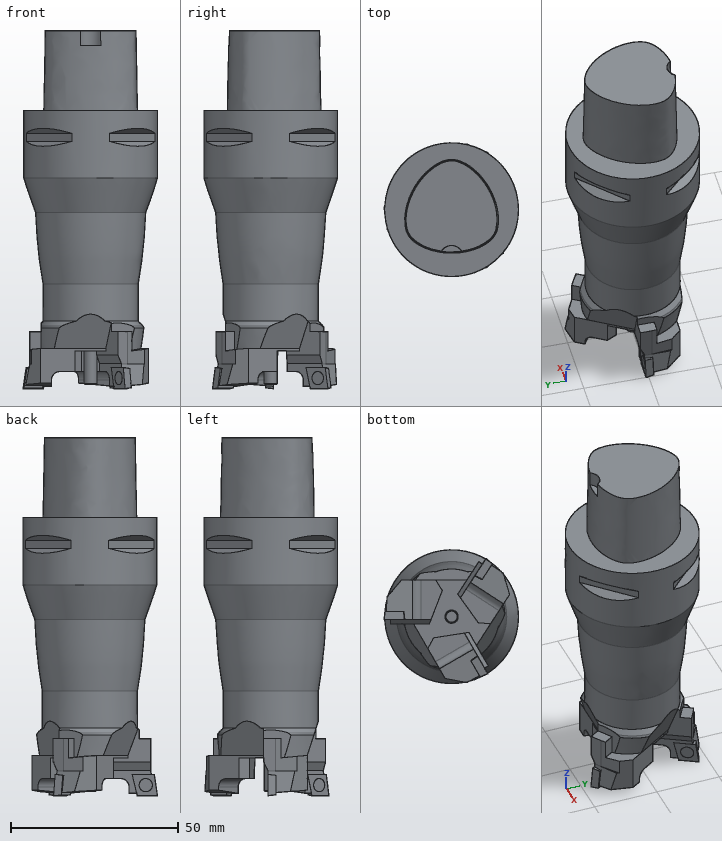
import cadquery as cq
import math


tool_length = 107
shank_base = 83.1
flange_bottom = 63.0
shoulder_bottom = 52.6
neck_top = 31.2
collar_top = 20.2
collar_shoulder = 18.8
collar_rim = 18.2
flute_break = 12.1
head_bottom = 11.3

flange_radius = 40.0 / 2
neck_radius = 28.5 / 2
shoulder_radius = 16.5
collar_radius = 15.9
collar_shoulder_radius = 15.6
collar_base_radius = 15.3
shoulder_bulge = 0.1
waist_bulge = 0.37

shank_base_radius = 14.0
shank_top_radius = 13.6
shank_lobe = 1.02
shank_points = 36
notch_radius = 3.5
notch_center = 14.2
notch_depth = 4.5

slot_count = 4
slot_start_angle = 45
slot_middle = 75.1
slot_floor_half = 1.2
slot_mouth_half = 2.7
slot_floor_radius = 17.5

tooth_angles = [180, -57, 60]
rake_offset = 2.1
seat_offset = 0.9
heel_offset = 10.9
post_top = 17.1
post_back = 3.0
rake_break = 10.2
seat_top = 7.6
outer_step = 7.4
post_radius = 18.2
post_bend = 1.4
chamfer_start = 7.8
chamfer_start_radius = 17.7
heel_radius = 15.0
inner_rake_radius = 6.6
inner_mid_radius = 2.8
inner_mid = 7.8
inner_heel_radius = 4.7
tooth_foot_radius = 19.6
toe_height = 0.7
heel_height = 1.7
relief_height = 5.1
relief_radius = 11.7
relief_round = 2.5
flat_distance = 14.8
flat_end = 11.8
flute_slope = 18

insert_height = 6.4
insert_thickness = 2.5
insert_clearance_angle = 7
insert_outline = [(12.6, insert_height), (19.3, insert_height), (20.2, 0), (14.1, 0)]
screw_radius_position = 16.7
screw_height = 3.2
screw_head_radius = 4.0 / 2
screw_shank_radius = 2.8 / 2
screw_head_depth = 1.1
screw_length = 5.9

pin_radius = 4.0 / 2
pin_bottom = 1.3
pin_chamfer = 0.3

reach = 2 * flange_radius


def turned(shape, angle):
    return shape.rotate((0, 0, 0), (0, 0, 1), angle)


def bulged_midpoint(start, end, bulge):
    """Middle of a segment of the turned profile, pushed outward by the bulge."""
    return ((start[0] + end[0]) / 2 + bulge, (start[1] + end[1]) / 2)


def make_turned_body():
    flange_edge = (flange_radius, flange_bottom)
    shoulder_edge = (shoulder_radius, shoulder_bottom)
    neck_edge = (neck_radius, neck_top)
    return (
        cq.Workplane("XZ")
        .moveTo(0, head_bottom)
        .lineTo(collar_base_radius, head_bottom)
        .lineTo(collar_radius, collar_rim)
        .lineTo(collar_shoulder_radius, collar_shoulder)
        .lineTo(neck_radius, collar_top)
        .lineTo(*neck_edge)
        .threePointArc(bulged_midpoint(neck_edge, shoulder_edge, waist_bulge), shoulder_edge)
        .threePointArc(bulged_midpoint(shoulder_edge, flange_edge, shoulder_bulge), flange_edge)
        .lineTo(flange_radius, shank_base)
        .lineTo(0, shank_base)
        .close()
        .revolve(360, (0, 0, 0), (0, 1, 0))
    )


def shank_section(mean_radius):
    """Constant-width three-lobed curve with one lobe toward +Y."""
    points = []
    for i in range(shank_points):
        a = 2 * math.pi * i / shank_points
        lobe_phase = 3 * (a - math.pi / 2)
        support = mean_radius + shank_lobe * math.cos(lobe_phase)
        slope = -3 * shank_lobe * math.sin(lobe_phase)
        x = support * math.cos(a) - slope * math.sin(a)
        y = support * math.sin(a) + slope * math.cos(a)
        points.append((x, y))
    return points


def make_shank():
    shank = (
        cq.Workplane("XY", origin=(0, 0, shank_base))
        .spline(shank_section(shank_base_radius), periodic=True)
        .close()
        .workplane(offset=tool_length - shank_base)
        .spline(shank_section(shank_top_radius), periodic=True)
        .close()
        .loft(combine=True)
    )
    notch = (
        cq.Workplane("XY", origin=(0, -notch_center, tool_length - notch_depth))
        .circle(notch_radius)
        .extrude(notch_depth)
    )
    return shank.cut(notch)


def make_slot(angle):
    """Straight slot across the flange, with sides that flare from the floor to the rim."""
    profile = [
        (slot_floor_radius, slot_middle - slot_floor_half),
        (flange_radius, slot_middle - slot_mouth_half),
        (flange_radius, slot_middle + slot_mouth_half),
        (slot_floor_radius, slot_middle + slot_floor_half),
    ]
    slot = cq.Workplane("XZ").polyline(profile).close().extrude(flange_radius, both=True)
    return turned(slot, angle)


def make_flat(angle):
    """Flat on the collar, behind the outer part of a tooth."""
    flat = cq.Workplane("XY").box(
        reach, flat_end + rake_offset, collar_top - head_bottom, centered=False
    )
    return turned(flat.translate((flat_distance, -rake_offset, head_bottom)), angle)


def make_flute(tooth_angle, next_angle):
    """Chip space from the heel of one tooth to the cutting face of the next."""
    rise = neck_top - flute_break
    lean = rise * math.tan(math.radians(flute_slope))
    profile = [
        (heel_offset, 0),
        (heel_offset, flute_break),
        (heel_offset + lean, neck_top),
        (reach, neck_top),
        (reach, 0),
    ]
    wedge = cq.Workplane("YZ").polyline(profile).close().extrude(reach, both=True)
    ahead_of_next = (
        cq.Workplane("XY")
        .box(2 * reach, reach, neck_top, centered=(True, False, False))
        .translate((0, -reach - rake_offset, 0))
    )
    return turned(wedge, tooth_angle).intersect(turned(ahead_of_next, next_angle))


def make_relief():
    """Round-cornered clearance under the inner part of a tooth."""
    round_start = relief_radius - relief_round
    round_end = relief_height - relief_round
    diagonal = relief_round * math.sqrt(0.5)
    return (
        cq.Workplane("XZ")
        .moveTo(-reach, 0)
        .lineTo(-reach, relief_height)
        .lineTo(round_start, relief_height)
        .threePointArc((round_start + diagonal, round_end + diagonal), (relief_radius, round_end))
        .lineTo(relief_radius, 0)
        .close()
        .extrude(reach, both=True)
    )


def make_tooth(angle):
    inner_side = [
        (heel_radius, heel_offset),
        (inner_heel_radius, heel_offset),
        (inner_mid_radius, inner_mid),
        (inner_rake_radius, -rake_offset),
    ]
    upper_plan = [
        (post_radius, -rake_offset),
        (post_radius, post_bend),
        (chamfer_start_radius, chamfer_start),
    ]
    chamfer_ratio = (heel_offset - chamfer_start) / (chamfer_start_radius - heel_radius)
    foot_chamfer_start = heel_offset - (tooth_foot_radius - heel_radius) * chamfer_ratio
    lower_plan = [
        (tooth_foot_radius, -rake_offset),
        (tooth_foot_radius, foot_chamfer_start),
    ]
    upper = (
        cq.Workplane("XY", origin=(0, 0, outer_step))
        .polyline(upper_plan + inner_side)
        .close()
        .extrude(post_top - outer_step)
    )
    lower = cq.Workplane("XY").polyline(lower_plan + inner_side).close().extrude(outer_step)

    side_profile = [
        (-rake_offset, post_top),
        (-rake_offset, rake_break),
        (-seat_offset, seat_top),
        (-seat_offset, toe_height),
        (heel_offset, heel_height),
        (heel_offset, flute_break),
        (post_back, head_bottom),
        (post_back, post_top),
    ]
    side = cq.Workplane("YZ").polyline(side_profile).close().extrude(reach)

    radial = (
        cq.Workplane("XZ")
        .moveTo(0, 0)
        .lineTo(tooth_foot_radius, 0)
        .lineTo(post_radius, outer_step)
        .lineTo(post_radius, post_top)
        .lineTo(0, post_top)
        .close()
        .extrude(reach, both=True)
    )
    tooth = upper.union(lower).intersect(side).intersect(radial).cut(make_relief())
    return turned(tooth, angle)


def make_screw(angle):
    """Countersunk clamping screw, flush with the insert face."""
    head_end = -seat_offset + screw_head_depth
    cone_end = -seat_offset + insert_thickness
    screw_end = -seat_offset + screw_length
    screw = (
        cq.Workplane("XY")
        .moveTo(0, -seat_offset)
        .lineTo(screw_head_radius, -seat_offset)
        .lineTo(screw_head_radius, head_end)
        .lineTo(screw_shank_radius, cone_end)
        .lineTo(screw_shank_radius, screw_end)
        .lineTo(0, screw_end)
        .close()
        .revolve(360, (0, 0, 0), (0, 1, 0))
        .translate((screw_radius_position, 0, screw_height))
    )
    return turned(screw, angle)


def make_insert_blank(angle):
    """Insert before its screw hole, tapering from the cutting face to the seat."""
    blank = (
        cq.Workplane("XZ", origin=(0, -seat_offset, 0))
        .polyline(insert_outline)
        .close()
        .extrude(-insert_thickness, taper=insert_clearance_angle)
    )
    return turned(blank, angle)


def make_center_pin():
    return (
        cq.Workplane("XY", origin=(0, 0, pin_bottom))
        .circle(pin_radius)
        .extrude(head_bottom - pin_bottom)
        .faces("<Z")
        .chamfer(pin_chamfer)
    )


screws = [make_screw(angle) for angle in tooth_angles]
insert_blanks = [make_insert_blank(angle) for angle in tooth_angles]
inserts = [blank.cut(screw) for blank, screw in zip(insert_blanks, screws)]

cutter = make_turned_body().union(make_shank())
for i in range(slot_count):
    cutter = cutter.cut(make_slot(slot_start_angle + i * 360 / slot_count))
next_angles = tooth_angles[1:] + tooth_angles[:1]
for tooth_angle, next_angle in zip(tooth_angles, next_angles):
    cutter = cutter.cut(make_flat(tooth_angle))
    cutter = cutter.cut(make_flute(tooth_angle, next_angle))
for angle in tooth_angles:
    cutter = cutter.union(make_tooth(angle))
cutter = cutter.union(make_center_pin())
for blank, screw in zip(insert_blanks, screws):
    cutter = cutter.cut(blank).cut(screw)

result = cq.Compound.makeCompound(
    [cutter.val()] + [insert.val() for insert in inserts] + [screw.val() for screw in screws]
)